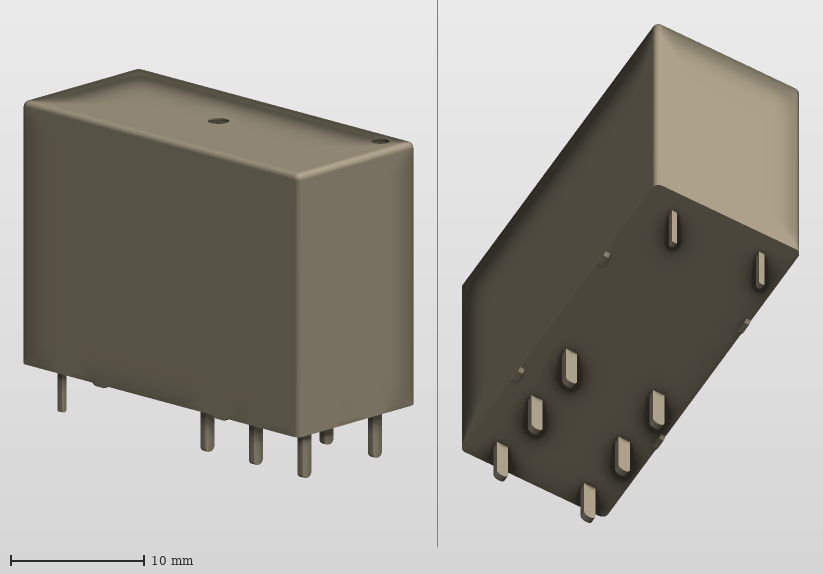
import cadquery as cq

CASE_LENGTH = 29.0
CASE_WIDTH = 12.7
TOTAL_HEIGHT = 24.5
PIN_LENGTH = 3.95
CASE_HEIGHT = TOTAL_HEIGHT - PIN_LENGTH
EDGE_RADIUS = 0.5

RECESS_DEPTH = 0.2
CENTRE_RECESS_DIAMETER = 1.62
CORNER_RECESS_DIAMETER = 1.4
CORNER_RECESS_X = 12.55
CORNER_RECESS_Y = 4.52

FOOT_LENGTH = 1.5
SOLE_LENGTH = 0.93
FOOT_WIDTH = 0.4
FOOT_HEIGHT = 0.2
FOOT_X = 6.3
FOOT_Y = (CASE_WIDTH - FOOT_WIDTH) / 2

PIN_PITCH = 5.08
CONTACT_PIN_THICKNESS = 0.52
COIL_PIN_SIDE = 0.45
COIL_TIP_RADIUS = 0.15
CONTACT_PIN_WIDTH = 1.0
CONTACT_TIP_RADIUS = 0.44
PIN_ROW_Y = 0.75 * PIN_PITCH
COIL_PIN_X = -2.5 * PIN_PITCH
CONTACT_PIN_X = [step * PIN_PITCH for step in (0.5, 1.5, 2.5)]
PIN_EMBED = 0.3


def make_case():
    """Case standing on the plane Z = 0."""
    block = cq.Workplane("XY").box(CASE_LENGTH, CASE_WIDTH, CASE_HEIGHT, centered=(True, True, False))
    return block.edges("|Z or >Z").fillet(EDGE_RADIUS)


def make_recess(x, y, diameter):
    floor = cq.Workplane("XY", origin=(x, y, CASE_HEIGHT - RECESS_DEPTH))
    return floor.circle(diameter / 2).extrude(RECESS_DEPTH)


def make_foot(x, y):
    """Foot with a flat sole and two sloping ends."""
    profile = (
        cq.Workplane("XZ", origin=(x, y, 0))
        .moveTo(-FOOT_LENGTH / 2, 0)
        .lineTo(-SOLE_LENGTH / 2, -FOOT_HEIGHT)
        .lineTo(SOLE_LENGTH / 2, -FOOT_HEIGHT)
        .lineTo(FOOT_LENGTH / 2, 0)
        .close()
    )
    return profile.extrude(FOOT_WIDTH / 2, both=True)


def make_pin(x, y, thickness, width, tip_radius):
    """Flat pin hanging below the case, with its tip rounded across its width."""
    blade = (
        cq.Workplane("XY", origin=(x, y, -PIN_LENGTH))
        .box(thickness, width, PIN_LENGTH + PIN_EMBED, centered=(True, True, False))
    )
    return blade.edges("|X and <Z").fillet(tip_radius)


result = make_case()
result = result.cut(make_recess(0, 0, CENTRE_RECESS_DIAMETER))
result = result.cut(make_recess(CORNER_RECESS_X, CORNER_RECESS_Y, CORNER_RECESS_DIAMETER))

for side in (-1, 1):
    for foot_x in (-FOOT_X, FOOT_X):
        result = result.union(make_foot(foot_x, side * FOOT_Y))
    row_y = side * PIN_ROW_Y
    result = result.union(make_pin(COIL_PIN_X, row_y, COIL_PIN_SIDE, COIL_PIN_SIDE, COIL_TIP_RADIUS))
    for contact_x in CONTACT_PIN_X:
        result = result.union(
            make_pin(contact_x, row_y, CONTACT_PIN_THICKNESS, CONTACT_PIN_WIDTH, CONTACT_TIP_RADIUS)
        )